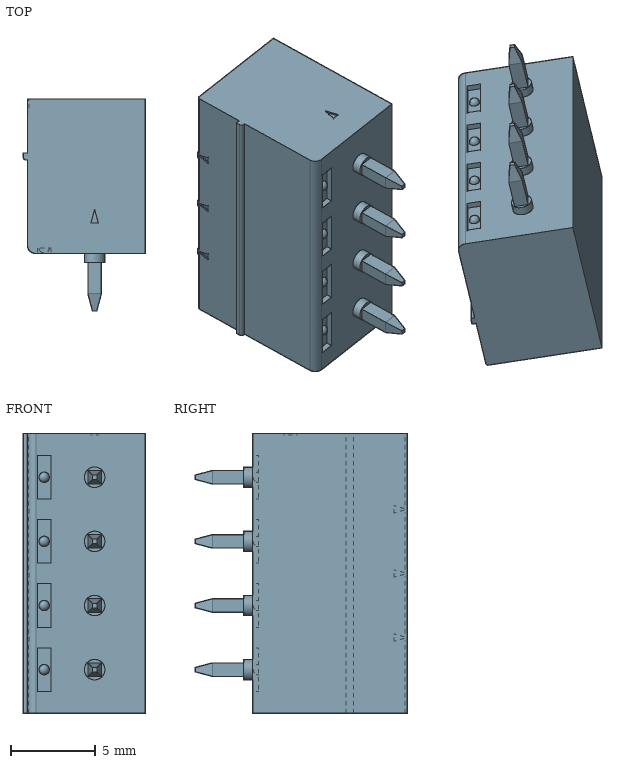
import cadquery as cq

height = 16.63
width = 7.0
depth = 9.2
corner_radius = 0.5

bevel_length = 0.13
bevel_inset = 0.07

rib_height = 0.25
rib_back = 3.21
rib_length = 0.43
rib_radius = 0.18

pin_count = 4
pitch = 3.8
pin_x = 3.99
collar_diameter = 1.21
collar_length = 0.53
pin_side = 0.81
pin_total = 3.41
tip_length = 1.03
tip_side = 0.27

window_x = 1.0
window_width = 0.81
window_height = 2.6
window_depth = 0.35
button_diameter = 0.62

mark_length = 0.8
mark_base = 0.43
mark_depth = 0.1
top_mark_base_y = -7.37

pin_heights = [height / 2 + (i - (pin_count - 1) / 2) * pitch for i in range(pin_count)]
gap_heights = [z + pitch / 2 for z in pin_heights[:-1]]


def pin_face_plane(x, y, z):
    """Plane parallel to the pin face, with its normal along -Y and local Y along Z."""
    return cq.Workplane(cq.Plane(origin=(x, y, z), xDir=(1, 0, 0), normal=(0, -1, 0)))


def housing():
    block = cq.Workplane("XY").box(width, depth, height, centered=False).translate((0, -depth, 0))
    block = block.edges("|Z and <X and <Y").fillet(corner_radius)
    bevel = (
        cq.Workplane("XY")
        .polyline([(0, 0), (0, -bevel_length), (bevel_inset, 0)])
        .close()
        .extrude(height)
    )
    for z in gap_heights:
        bevel = bevel.cut(cq.Workplane("XY").box(width, depth, mark_base).translate((0, 0, z)))
    return block.cut(bevel)


def locking_rib():
    rib = cq.Workplane("XY").box(2 * rib_height, rib_length, height, centered=(True, False, False))
    rib = rib.edges("|Z and <X and <Y").fillet(rib_radius)
    return rib.translate((0, -rib_back - rib_length, 0))


def pin(z):
    shank_length = pin_total - tip_length
    collar = pin_face_plane(pin_x, -depth, z).circle(collar_diameter / 2).extrude(collar_length)
    shank = pin_face_plane(pin_x, -depth, z).rect(pin_side, pin_side).extrude(shank_length)
    tip = (
        pin_face_plane(pin_x, -depth - shank_length, z)
        .rect(pin_side, pin_side)
        .workplane(offset=tip_length)
        .rect(tip_side, tip_side)
        .loft(ruled=True)
    )
    return collar.union(shank).union(tip)


def window(z):
    return pin_face_plane(window_x, -depth, z).rect(window_width, window_height).extrude(-window_depth)


def button(z):
    return cq.Workplane("XY").sphere(button_diameter / 2).translate((window_x, window_depth - depth, z))


def mark(plane):
    """Triangle with its base centred on the plane origin, pointing along local Y, cut inwards."""
    outline = [(-mark_base / 2, 0), (mark_base / 2, 0), (0, mark_length)]
    return cq.Workplane(plane).polyline(outline).close().extrude(-mark_depth)


result = housing().union(locking_rib())
for z in pin_heights:
    result = result.cut(window(z)).union(button(z)).union(pin(z))

top_mark_plane = cq.Plane(origin=(pin_x, top_mark_base_y, height), xDir=(1, 0, 0), normal=(0, 0, 1))
result = result.cut(mark(top_mark_plane))
for z in gap_heights:
    wall_mark_plane = cq.Plane(origin=(0, -mark_length, z), xDir=(0, 0, 1), normal=(-1, 0, 0))
    result = result.cut(mark(wall_mark_plane))